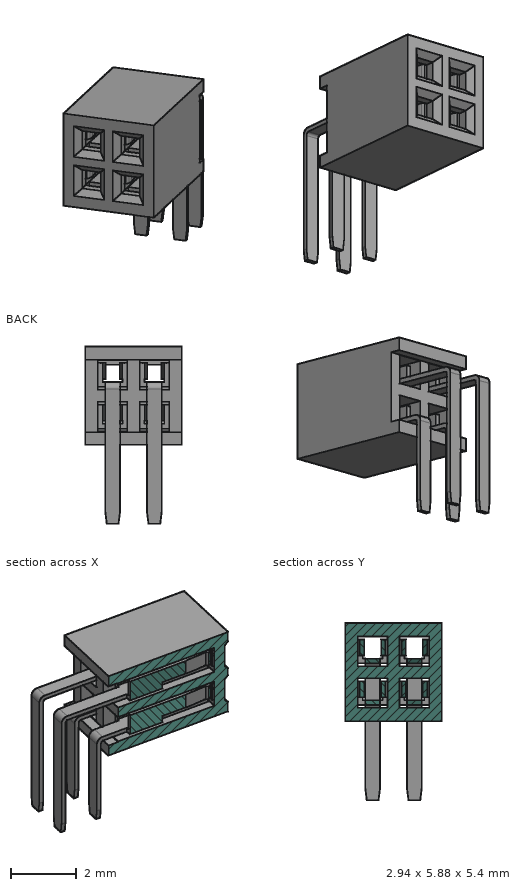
import cadquery as cq

PITCH = 1.27
OVERALL_LENGTH = 5.88

HOUSING_WIDTH = 2.94
HOUSING_HEIGHT = 3.0
HOUSING_LENGTH = 4.305
RECESS_DEPTH = 0.34
TOP_LIP_HEIGHT = 0.405
BOTTOM_LIP_HEIGHT = 0.395

THROAT_SIZE = 0.6
THROAT_LENGTH = 0.3
LEAD_IN_DEPTH = 0.2
CAVITY_SIZE = 0.895

SHEET_THICKNESS = 0.145
CONTACT_HEIGHT = 0.73
TAIL_WIDTH = 0.45
TAIL_DROP = 2.4
TIP_LENGTH = 0.35
TIP_WIDTH = 0.365

TONGUE_SETBACK = 0.105
BEAM_CLEARANCE = 0.09
BEAM_GAP = 0.425
BEAM_FLARE_LENGTH = 0.175
BEAM_BEND_RADIUS = 0.295
BASE_START = 2.35
BASE_LENGTH = 1.175

TAIL_OUTER_RADIUS = 0.205
TAIL_INNER_RADIUS = 0.095

THROAT_END = LEAD_IN_DEPTH + THROAT_LENGTH
TONGUE_START = THROAT_END + TONGUE_SETBACK
BASE_END = BASE_START + BASE_LENGTH
RECESS_FACE = HOUSING_LENGTH - RECESS_DEPTH
COLUMN_POSITIONS = (-PITCH / 2, PITCH / 2)
UPPER_ROW = (HOUSING_HEIGHT + PITCH) / 2
LOWER_ROW = (HOUSING_HEIGHT - PITCH) / 2

ROWS = (
    (UPPER_ROW, OVERALL_LENGTH),
    (LOWER_ROW, OVERALL_LENGTH - PITCH),
)


def box_between(x_range, y_range, z_range):
    """Box spanning the given start and end on each axis."""
    (x0, x1), (y0, y1), (z0, z1) = x_range, y_range, z_range
    return cq.Workplane("XY").box(x1 - x0, y1 - y0, z1 - z0, centered=False).translate((x0, y0, z0))


def make_socket(x, z):
    """Void of one contact position: pyramid lead-in, narrow throat and wider contact cavity."""
    opening_size = THROAT_SIZE + 2 * LEAD_IN_DEPTH
    mating_face = cq.Workplane("XZ", origin=(x, 0, z))
    lead_in = (
        mating_face.rect(opening_size, opening_size)
        .workplane(offset=-LEAD_IN_DEPTH)
        .rect(THROAT_SIZE, THROAT_SIZE)
        .loft(ruled=True)
    )
    throat = mating_face.rect(THROAT_SIZE, THROAT_SIZE).extrude(-THROAT_END)
    cavity = (
        mating_face.workplane(offset=-THROAT_END)
        .rect(CAVITY_SIZE, CAVITY_SIZE)
        .extrude(THROAT_END - HOUSING_LENGTH)
    )
    return lead_in.union(throat).union(cavity)


def make_housing():
    """Block with a recessed rear face between two lips, and one socket per contact."""
    half_width = HOUSING_WIDTH / 2
    across = (-half_width, half_width)
    block = box_between(across, (0, HOUSING_LENGTH), (0, HOUSING_HEIGHT))
    rear_recess = box_between(
        across,
        (RECESS_FACE, HOUSING_LENGTH),
        (BOTTOM_LIP_HEIGHT, HOUSING_HEIGHT - TOP_LIP_HEIGHT),
    )
    housing = block.cut(rear_recess)
    for row_height, _ in ROWS:
        for x in COLUMN_POSITIONS:
            housing = housing.cut(make_socket(x, row_height))
    return housing


def make_strip(floor, rear):
    """Tongue and tail in one strip, bent down behind the housing and tapered at its tip."""
    top = floor + SHEET_THICKNESS
    inner_face = rear - SHEET_THICKNESS
    bent_strip = (
        cq.Workplane("YZ")
        .moveTo(TONGUE_START, floor)
        .lineTo(TONGUE_START, top)
        .lineTo(rear - TAIL_OUTER_RADIUS, top)
        .radiusArc((rear, top - TAIL_OUTER_RADIUS), TAIL_OUTER_RADIUS)
        .lineTo(rear, -TAIL_DROP)
        .lineTo(inner_face, -TAIL_DROP)
        .lineTo(inner_face, floor - TAIL_INNER_RADIUS)
        .radiusArc((inner_face - TAIL_INNER_RADIUS, floor), -TAIL_INNER_RADIUS)
        .close()
        .extrude(TAIL_WIDTH / 2, both=True)
    )
    tapered_outline = (
        cq.Workplane("XZ")
        .moveTo(-TAIL_WIDTH / 2, top)
        .lineTo(TAIL_WIDTH / 2, top)
        .lineTo(TAIL_WIDTH / 2, TIP_LENGTH - TAIL_DROP)
        .lineTo(TIP_WIDTH / 2, -TAIL_DROP)
        .lineTo(-TIP_WIDTH / 2, -TAIL_DROP)
        .lineTo(-TAIL_WIDTH / 2, TIP_LENGTH - TAIL_DROP)
        .close()
        .extrude(-OVERALL_LENGTH)
    )
    return bent_strip.intersect(tapered_outline)


def make_right_beam(floor):
    """Spring beam on the +X side: it leans in from a side wall and flares out at its free end."""
    wall_outer = CAVITY_SIZE / 2
    wall_inner = wall_outer - SHEET_THICKNESS
    bend_inner = BEAM_GAP / 2
    bend_outer = bend_inner + SHEET_THICKNESS
    bend_y = TONGUE_START + BEAM_FLARE_LENGTH
    beam_bottom = floor + SHEET_THICKNESS + BEAM_CLEARANCE
    top = floor + CONTACT_HEIGHT
    bend_edge = cq.selectors.NearestToPointSelector((bend_inner, bend_y, (beam_bottom + top) / 2))
    beam = (
        cq.Workplane("XY", origin=(0, 0, beam_bottom))
        .moveTo(wall_inner, TONGUE_START)
        .lineTo(bend_inner, bend_y)
        .lineTo(wall_inner, BASE_START)
        .lineTo(wall_outer, BASE_START)
        .lineTo(bend_outer, bend_y)
        .lineTo(wall_outer, TONGUE_START)
        .close()
        .extrude(top - beam_bottom)
        .edges(bend_edge)
        .fillet(BEAM_BEND_RADIUS)
    )
    side_wall = box_between((wall_inner, wall_outer), (BASE_START, BASE_END), (floor, top))
    return beam.union(side_wall)


def make_contact(x, row_height, rear):
    """Sheet-metal contact: bent strip, wide base and two facing spring beams."""
    floor = row_height - CONTACT_HEIGHT / 2
    half_base = CAVITY_SIZE / 2
    base = box_between(
        (-half_base, half_base),
        (BASE_START, BASE_END),
        (floor, floor + SHEET_THICKNESS),
    )
    right_beam = make_right_beam(floor)
    left_beam = right_beam.mirror("YZ")
    strip = make_strip(floor, rear)
    return strip.union(base).union(right_beam).union(left_beam).translate((x, 0, 0))


housing = make_housing()
contacts = [make_contact(x, *row) for row in ROWS for x in COLUMN_POSITIONS]

result = cq.Compound.makeCompound([housing.val(), *[contact.val() for contact in contacts]])